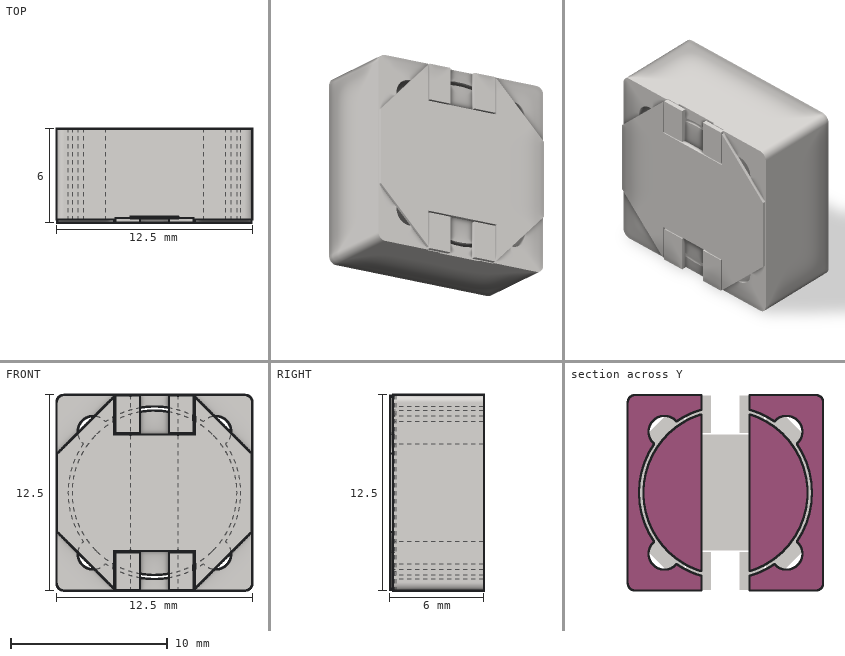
import cadquery as cq
import math

side = 12.5
depth = 6
front_y = -depth / 2
back_y = depth / 2

plate_thickness = 0.2
plate_side = 12.4
plate_flat = 5
pad_thickness = 0.1
terminal_thickness = plate_thickness + pad_thickness
terminal_width = 1.58
terminal_outer_x = 2.49
terminal_inner_z = 3.8
terminal_outer_z = plate_side / 2
terminal_clearance = 0.1
slot_half_width = terminal_outer_x + terminal_clearance
slot_inner_z = terminal_inner_z - terminal_clearance

body_front_y = front_y + plate_thickness
corner_radius = 0.5
bore_radius = 5.5
core_radius = 5.25
lobe_radius = 1

seat_width = 2 * terminal_outer_x
seat_floor_y = front_y + terminal_thickness
channel_width = 3.02
channel_step = 0.1
channel_floor_y = seat_floor_y + channel_step


def front_plane(y):
    """XZ sketch plane at the given Y; its normal points toward -Y."""
    return cq.Workplane("XZ", origin=(0, y, 0))


def block(x_size, z_size, y_start, y_end, x=0, z=0):
    """Box centred on (x, z), spanning y_start to y_end."""
    return front_plane(y_start).center(x, z).rect(x_size, z_size).extrude(y_start - y_end)


def disc(radius, y_start, y_end, x=0, z=0):
    """Cylinder along Y centred on (x, z), spanning y_start to y_end."""
    return front_plane(y_start).center(x, z).circle(radius).extrude(y_start - y_end)


def make_body():
    """Square ring with a lobed bore around a separate core, both crossed by the stepped groove."""
    ring = block(side, side, body_front_y, back_y).edges("|Y").fillet(corner_radius)
    ring = ring.cut(disc(bore_radius, body_front_y, back_y))
    lobe_offset = bore_radius * math.sqrt(0.5)
    for x in (-lobe_offset, lobe_offset):
        for z in (-lobe_offset, lobe_offset):
            ring = ring.cut(disc(lobe_radius, body_front_y, back_y, x, z))
    body = ring.union(disc(core_radius, body_front_y, back_y))
    seat = block(seat_width, side, body_front_y, seat_floor_y)
    channel = block(channel_width, side, body_front_y, channel_floor_y)
    return body.cut(seat).cut(channel)


def make_plate():
    """Octagonal plate with a slot for each terminal pair and a pad behind."""
    plate = block(plate_side, plate_side, front_y, body_front_y)
    plate = plate.edges("|Y").chamfer((plate_side - plate_flat) / 2)
    slot_height = side / 2 - slot_inner_z
    for end in (-1, 1):
        slot_z = end * (slot_inner_z + slot_height / 2)
        plate = plate.cut(block(2 * slot_half_width, slot_height, front_y, body_front_y, z=slot_z))
    pad = block(seat_width, 2 * slot_inner_z, body_front_y, seat_floor_y)
    return plate.union(pad)


def make_terminal(x_sign, z_sign):
    """Flat contact flush with the plate and resting on the groove seat."""
    x = x_sign * (terminal_outer_x - terminal_width / 2)
    z = z_sign * (terminal_inner_z + terminal_outer_z) / 2
    height = terminal_outer_z - terminal_inner_z
    return block(terminal_width, height, front_y, seat_floor_y, x, z)


result = make_body().union(make_plate())
for x_sign in (-1, 1):
    for z_sign in (-1, 1):
        result = result.union(make_terminal(x_sign, z_sign))